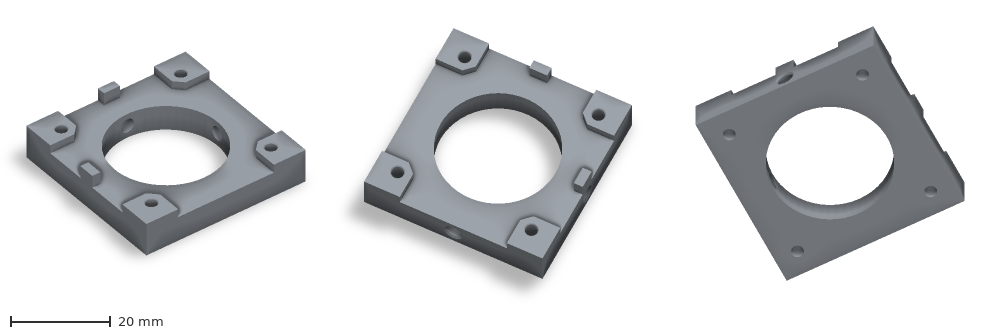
import cadquery as cq

plate_side = 40.0
plate_thickness = 6.0
bore_diameter = 25.75
half_side = plate_side / 2
corner_angles = (0, 90, 180, 270)

pad_side = 8.0
pad_top = 8.0
pad_chamfer = 2.0

tab_width = 4.0
tab_depth = 2.0
tab_top = 9.0

screw_hole_diameter = 2.6
screw_mouth_diameter = 3.0
screw_hole_inset = 5.0

radial_hole_diameter = 3.3
radial_mouth_diameter = 4.0
radial_hole_height = plate_thickness / 2
radial_hole_length = half_side


def make_plate():
    """Square base plate, before the bore and holes are cut."""
    return cq.Workplane("XY").box(plate_side, plate_side, plate_thickness, centered=(True, True, False))


def make_corner_pad():
    """Pad at the +X +Y corner, standing on the plate."""
    inner = half_side - pad_side
    return (
        cq.Workplane("XY", origin=(0, 0, plate_thickness))
        .moveTo(half_side, half_side)
        .lineTo(inner, half_side)
        .lineTo(inner, inner + pad_chamfer)
        .lineTo(inner + pad_chamfer, inner)
        .lineTo(half_side, inner)
        .close()
        .extrude(pad_top - plate_thickness)
    )


def make_edge_tab():
    """Tab in the middle of the -X edge, standing on the plate."""
    return (
        cq.Workplane("XY", origin=(tab_depth / 2 - half_side, 0, plate_thickness))
        .rect(tab_depth, tab_width)
        .extrude(tab_top - plate_thickness)
    )


def make_hole_cutter(start, direction, hole_diameter, mouth_diameter, length):
    """Cylinder running from start along direction, with a 45 degree countersink at its mouth."""
    origin = cq.Vector(*start)
    axis = cq.Vector(*direction)
    hole_radius = hole_diameter / 2
    mouth_radius = mouth_diameter / 2
    drill = cq.Solid.makeCylinder(hole_radius, length, origin, axis)
    countersink = cq.Solid.makeCone(mouth_radius, hole_radius, mouth_radius - hole_radius, origin, axis)
    return cq.Workplane(drill.fuse(countersink))


def turned(body, angle):
    """Copy of body turned about the Z axis."""
    return body.rotate((0, 0, 0), (0, 0, 1), angle)


result = make_plate()
for corner_angle in corner_angles:
    result = result.union(turned(make_corner_pad(), corner_angle))
for edge_angle in (0, 90):
    result = result.union(turned(make_edge_tab(), edge_angle))

bore = cq.Workplane("XY").circle(bore_diameter / 2).extrude(plate_thickness)
result = result.cut(bore)

screw_position = half_side - screw_hole_inset
screw_hole = make_hole_cutter(
    (screw_position, screw_position, pad_top), (0, 0, -1), screw_hole_diameter, screw_mouth_diameter, pad_top
)
for corner_angle in corner_angles:
    result = result.cut(turned(screw_hole, corner_angle))

radial_hole = make_hole_cutter(
    (-half_side, 0, radial_hole_height), (1, 0, 0), radial_hole_diameter, radial_mouth_diameter, radial_hole_length
)
for face_angle in (0, -90):
    result = result.cut(turned(radial_hole, face_angle))